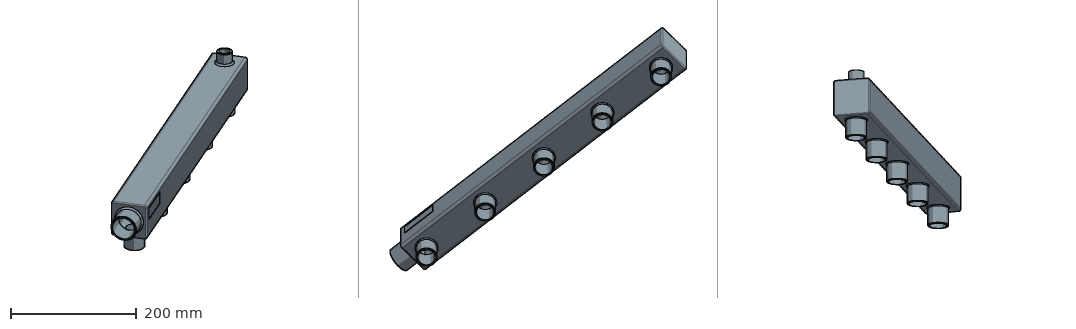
import cadquery as cq

total_length = 588.0
beam_size = 60.0
beam_edge_radius = 4.4
end_radius = 2.05
wall = 3.0

inlet_length = 30.0
inlet_diameter = 42.5
inlet_bore = 36.5
inlet_weld = 3.0
inlet_chamfer = 0.9

outlet_count = 5
outlet_near_margin = 30.0
outlet_far_margin = 29.0
outlet_length = 30.0
outlet_diameter = 33.5
outlet_bore = 27.5
outlet_weld = 2.0
outlet_chamfer = 0.9

vent_margin = 29.5
vent_length = 20.0
vent_diameter = 25.0
vent_bore = 17.0
vent_weld = 3.0
vent_chamfer = 0.5

plate_length = beam_size
plate_height = 20.0
plate_thickness = 0.5
plate_margin = 10.0
plate_rise = 12.0

half = beam_size / 2
beam_length = total_length - inlet_length
first_outlet_y = inlet_length + outlet_near_margin
last_outlet_y = total_length - outlet_far_margin
outlet_pitch = (last_outlet_y - first_outlet_y) / (outlet_count - 1)
vent_y = total_length - vent_margin


def bar(size, start, length, edge_radius):
    """Square bar along +Y with rounded long edges."""
    return (
        cq.Workplane("XZ", origin=(0, start, 0))
        .rect(size, size)
        .extrude(-length)
        .edges("|Y")
        .fillet(edge_radius)
    )


def add_stub(body, foot, direction, diameter, bore, length, weld, chamfer):
    """Stand a pipe stub on a beam face and bore it through the wall into the cavity."""
    radius = diameter / 2
    pipe = cq.Workplane("XY").circle(radius).extrude(length).faces(">Z").chamfer(chamfer)
    bead = cq.Workplane("XY").circle(radius + weld).workplane(offset=weld).circle(radius).loft()
    hole = cq.Workplane("XY", origin=(0, 0, -wall)).circle(bore / 2).extrude(wall + length)

    place = cq.Plane(origin=foot, normal=direction).location
    stub = pipe.union(bead).val().moved(place)
    return body.union(stub).cut(hole.val().moved(place))


beam = bar(beam_size, inlet_length, beam_length, beam_edge_radius)
beam = beam.faces("<Y or >Y").edges().fillet(end_radius)
cavity = bar(
    beam_size - 2 * wall,
    inlet_length + wall,
    beam_length - 2 * wall,
    beam_edge_radius - wall,
)
body = beam.cut(cavity)

body = add_stub(
    body, (0, inlet_length, 0), (0, -1, 0),
    inlet_diameter, inlet_bore, inlet_length, inlet_weld, inlet_chamfer,
)

for i in range(outlet_count):
    outlet_y = first_outlet_y + i * outlet_pitch
    body = add_stub(
        body, (0, outlet_y, -half), (0, 0, -1),
        outlet_diameter, outlet_bore, outlet_length, outlet_weld, outlet_chamfer,
    )

body = add_stub(
    body, (0, vent_y, half), (0, 0, 1),
    vent_diameter, vent_bore, vent_length, vent_weld, vent_chamfer,
)

plate_y = inlet_length + plate_margin + plate_length / 2
plate = cq.Workplane("XY").box(plate_thickness, plate_length, plate_height)
plate = plate.translate((half + plate_thickness / 2, plate_y, plate_rise))

result = body.union(plate)